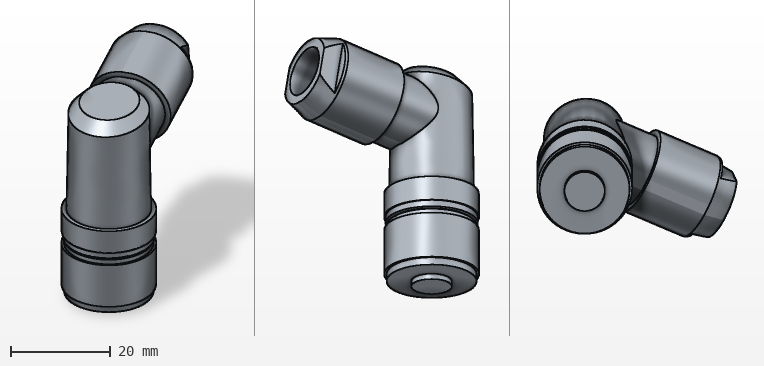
import cadquery as cq
import math

nut_radius = 19.0 / 2
nut_step_radius = 9.0
nut_bottom = 1.15
nut_grip_bottom = 2.65
nut_grip_top = 12.15
nut_top = 13.15

insert_radius = 4.05

neck_radius = 8.25
neck_top = 13.65
skirt_radius = 9.25
collar_bottom = 14.95
collar_radius = nut_radius
collar_top = 19.95

column_bottom_radius = 8.55
column_draft = 1.0
slant = 10.0
bevel_base_height = 42.2
bevel_height = 2.05
bevel_top_radius = 6.05
bevel_top_shift = 0.7

branch_height = 34.55
tube_radius = 7.6
gland_radius = 8.75
gland_start = 12.6
gland_shoulder = 26.1
gland_tip = 30.75
gland_cone_angle = 20.0
tube_flat_half_angle = 13.2
gland_flat_half_angle = 7.2
wrench_flat_offset = 6.45
wrench_flat_length = 4.05
cable_bore_radius = 5.2

gland_tip_radius = gland_radius - (gland_tip - gland_shoulder) * math.tan(math.radians(gland_cone_angle))
gland_length = gland_tip - gland_start
oversize = 2 * gland_radius

branch_direction = (0, math.cos(math.radians(slant)), math.sin(math.radians(slant)))
branch_plane = cq.Plane(origin=(0, 0, branch_height), xDir=(1, 0, 0), normal=branch_direction)
branch_side_plane = cq.Plane(
    origin=(0, 0, branch_height), xDir=branch_direction, normal=(1, 0, 0)
)
slant_normal = (0, -math.sin(math.radians(slant)), math.cos(math.radians(slant)))
slant_plane = cq.Plane(origin=(0, 0, bevel_base_height), xDir=(1, 0, 0), normal=slant_normal)


def disc(radius, bottom, top):
    """Upright cylinder on the Z axis between two heights."""
    return cq.Workplane("XY").workplane(offset=bottom).circle(radius).extrude(top - bottom)


def make_nut():
    """Stepped coupling nut with a bore that fits the contact insert."""
    sleeve = disc(nut_step_radius, nut_bottom, nut_top)
    sleeve = sleeve.union(disc(nut_radius, nut_grip_bottom, nut_grip_top))
    return sleeve.cut(disc(insert_radius, nut_bottom, nut_top))


def make_connector_end():
    """Contact insert, neck, skirt and collar stacked on the Z axis."""
    stack = disc(insert_radius, 0, nut_top)
    stack = stack.union(disc(neck_radius, nut_top, neck_top))
    stack = stack.union(disc(skirt_radius, neck_top, collar_bottom))
    return stack.union(disc(collar_radius, collar_bottom, collar_top))


def make_column():
    """Tapered column cut off at a slant and finished with a lofted bevel."""
    full_height = bevel_base_height + oversize - collar_top
    column = (
        cq.Workplane("XY", origin=(0, 0, collar_top))
        .circle(column_bottom_radius)
        .extrude(full_height, taper=column_draft)
    )
    above_slant = cq.Workplane(slant_plane).rect(2 * oversize, 2 * oversize).extrude(2 * oversize)
    column = column.cut(above_slant)
    base_edge = column.faces(cq.DirectionMinMaxSelector(slant_plane.zDir, True)).wires().val()
    top_edge = (
        cq.Workplane(slant_plane)
        .workplane(offset=bevel_height)
        .center(0, bevel_top_shift)
        .circle(bevel_top_radius)
        .wires()
        .val()
    )
    bevel = cq.Solid.makeLoft([base_edge, top_edge], True)
    return column.union(bevel)


def make_branch():
    """Tube and cable gland with narrow flat strips along the upper and lower sides."""
    round_profile = [
        (0, 0),
        (0, tube_radius),
        (gland_start, tube_radius),
        (gland_start, gland_radius),
        (gland_shoulder, gland_radius),
        (gland_tip, gland_tip_radius),
        (gland_tip, 0),
    ]
    branch = (
        cq.Workplane(branch_side_plane)
        .polyline(round_profile)
        .close()
        .revolve(360, (0, 0, 0), (1, 0, 0))
    )
    tube_scale = math.cos(math.radians(tube_flat_half_angle))
    gland_scale = math.cos(math.radians(gland_flat_half_angle))
    upper_limit = [
        (0, tube_radius * tube_scale),
        (gland_start, tube_radius * tube_scale),
        (gland_start, gland_radius * gland_scale),
        (gland_shoulder, gland_radius * gland_scale),
        (gland_tip, gland_tip_radius * gland_scale),
    ]
    lower_limit = [(along, -across) for along, across in reversed(upper_limit)]
    between_flats = (
        cq.Workplane(branch_side_plane)
        .polyline(upper_limit + lower_limit)
        .close()
        .extrude(oversize, both=True)
    )
    return branch.intersect(between_flats)


def make_wrench_flat_cutters():
    """Blocks that leave two parallel wrench flats on the gland tip."""
    block_centre = wrench_flat_offset + oversize / 2
    return (
        cq.Workplane(branch_plane)
        .workplane(offset=gland_tip - wrench_flat_length)
        .pushPoints([(-block_centre, 0), (block_centre, 0)])
        .rect(oversize, 2 * oversize)
        .extrude(oversize)
    )


def make_cable_bore():
    """Blind cable hole reaching through the length of the gland."""
    return (
        cq.Workplane(branch_plane)
        .workplane(offset=gland_start)
        .circle(cable_bore_radius)
        .extrude(gland_length)
    )


def make_housing():
    """Angled housing in one piece with its contact insert and cable gland."""
    housing = make_connector_end().union(make_column()).union(make_branch())
    return housing.cut(make_wrench_flat_cutters()).cut(make_cable_bore())


nut = make_nut()
housing = make_housing()

result = cq.Compound.makeCompound([housing.val(), nut.val()])